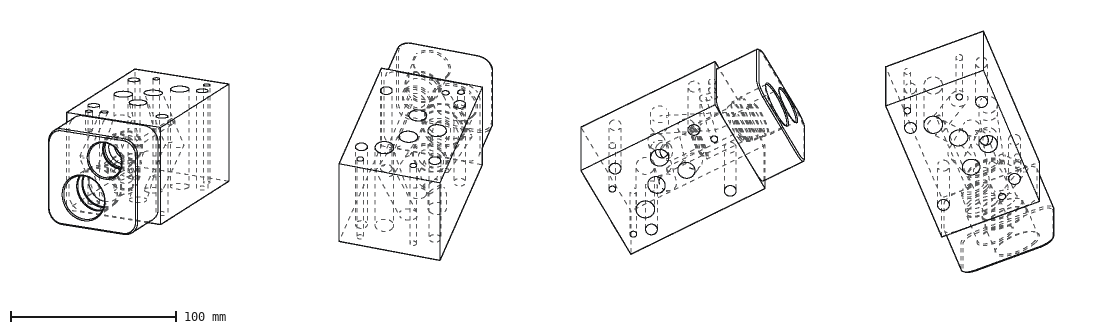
import cadquery as cq
import math

WIDTH = 63.5
HEIGHT = 61.9
LENGTH = 120.6
BLOCK_LENGTH = 92.0
NOSE_WIDTH = 60.2
NOSE_HEIGHT = 60.9
NOSE_CORNER_RADIUS = 9.4
NOSE_CHAMFER = 1.0
NOSE_LENGTH = LENGTH - BLOCK_LENGTH
TOP = HEIGHT / 2

BOLT_DIAMETER = 7.1
BOLT_SPACING_X = 46.1
BOLT_SPACING_Y = 54.0
BOLT_BACK_EDGE = 18.8
BOLT_MIDDLE_Y = LENGTH - BOLT_BACK_EDGE - BOLT_SPACING_Y / 2

PORT_COLUMN_X = -1.6
PORT_OFFSET_Y = 10.3
CROSS_PORT_DIAMETER = 10.3
BACK_PORT_LEAN = 25.0
FRONT_PORT_LEAN = 16.8
RETURN_PORT_DIAMETER = 11.2
RETURN_PORT_X = 9.5
RETURN_PORT_OFFSET_Y = 23.9
PRESSURE_PORT_RADIUS = 5.5
PRESSURE_PORT_X = -16.6
TOP_PRESSURE_END_Z = 16.4
BOTTOM_PRESSURE_END_Z = -19.3

SMALL_HOLE_DIAMETER = 4.0
SMALL_THROUGH_HOLES = [(-11.8, 109.8), (20.6, 112.9)]
PIN_HOLE_X = -20.6
PIN_HOLE_Y = 36.7
PIN_HOLE_DEPTH = 12.1
PILOT_X = -11.8
PILOT_Y = 39.8
PILOT_LEAN = -25.0

DRILL_POINT_HALF_ANGLE = 59.0
LARGE_X = -5.9
LARGE_Z = -11.0
LARGE_STATIONS = [
    (14.5, 0),
    (13.8, 0.7),
    (13.8, 18.1),
    (13.3, 18.6),
    (13.3, 24.1),
    (12.8, 24.6),
    (11.7, 27.7),
    (11.0, 29.0),
    (11.0, 53.1),
    (10.4, 53.7),
    (10.4, 54.3),
]
LARGE_POINT_RADIUS = 7.0
SMALL_X = 8.3
SMALL_Z = 15.0
SMALL_STATIONS = [
    (11.8, 0),
    (11.1, 0.7),
    (11.1, 19.3),
    (10.6, 19.8),
    (10.6, 21.7),
    (9.4, 24.1),
    (9.4, 31.4),
    (8.7, 32.1),
    (8.7, 33.8),
]
SMALL_POINT_RADIUS = 5.7

FEED_RADIUS = 5.5
FEED_END = (-9.3, 72.0, LARGE_Z)
FEED_LINK_RADIUS = 4.7
SIDE_LINK_RADIUS = 5.3
SIDE_LINK_END = (-7.8, 33.8, -4.0)
BLEED_RADIUS = 1.6
BLEED_OFFSET_X = 3.1
BLEED_END_Y = BOLT_MIDDLE_Y + PORT_OFFSET_Y


def cylinder(radius, length, start, direction):
    return cq.Workplane(cq.Solid.makeCylinder(radius, length, cq.Vector(*start), cq.Vector(*direction)))


def ball(radius, centre):
    return cq.Workplane("XY").sphere(radius).translate(centre)


def vertical_holes(diameter, centres):
    return (
        cq.Workplane("XY", origin=(0, 0, -TOP))
        .pushPoints(centres)
        .circle(diameter / 2)
        .extrude(HEIGHT)
    )


def body():
    block = cq.Workplane("XY").box(WIDTH, BLOCK_LENGTH, HEIGHT).translate((0, LENGTH - BLOCK_LENGTH / 2, 0))
    nose = (
        cq.Workplane("XY")
        .box(NOSE_WIDTH, NOSE_LENGTH, NOSE_HEIGHT)
        .translate((0, NOSE_LENGTH / 2, 0))
        .edges("|Y")
        .fillet(NOSE_CORNER_RADIUS)
        .faces("<Y")
        .chamfer(NOSE_CHAMFER)
    )
    return block.union(nose)


def bolt_holes():
    centres = [
        (side * BOLT_SPACING_X / 2, BOLT_MIDDLE_Y + end * BOLT_SPACING_Y / 2)
        for side in (-1, 1)
        for end in (-1, 1)
    ]
    return vertical_holes(BOLT_DIAMETER, centres)


def bent_hole(diameter, x, y, lean):
    """Holes at the same place on the top and bottom faces, leaning to meet at mid height."""
    slope = math.tan(math.radians(lean))
    overrun = diameter
    length = (TOP + 2 * overrun) / math.cos(math.radians(lean))
    half_block = cq.Workplane("XY").box(WIDTH, LENGTH, TOP).translate((0, LENGTH / 2, TOP / 2))
    start = (x - slope * overrun, y, TOP + overrun)
    upper_leg = cylinder(diameter / 2, length, start, (slope, 0, -1)).intersect(half_block)
    return upper_leg.union(upper_leg.mirror("XY"))


def rod_between(radius, start, end):
    direction = cq.Vector(*end) - cq.Vector(*start)
    return cylinder(radius, direction.Length, start, direction.toTuple())


def round_ended_hole(radius, mouth, end):
    return rod_between(radius, mouth, end).union(ball(radius, end))


def pressure_port(end_z, side):
    """Round-ended vertical hole from the top (side 1) or bottom (side -1) face."""
    mouth = (PRESSURE_PORT_X, BOLT_MIDDLE_Y, side * TOP)
    return round_ended_hole(PRESSURE_PORT_RADIUS, mouth, (PRESSURE_PORT_X, BOLT_MIDDLE_Y, end_z))


def pressure_passages():
    """Top port to the side wall of the large cavity, bottom port to the cavity floor."""
    top_end = (PRESSURE_PORT_X, BOLT_MIDDLE_Y, TOP_PRESSURE_END_Z)
    bottom_end = (PRESSURE_PORT_X, BOLT_MIDDLE_Y, BOTTOM_PRESSURE_END_Z)
    floor_depth = LARGE_STATIONS[-1][1]
    feed_mouth = (FEED_END[0], floor_depth, FEED_END[2])
    return (
        pressure_port(TOP_PRESSURE_END_Z, 1)
        .union(rod_between(SIDE_LINK_RADIUS, top_end, SIDE_LINK_END))
        .union(pressure_port(BOTTOM_PRESSURE_END_Z, -1))
        .union(rod_between(FEED_LINK_RADIUS, bottom_end, FEED_END))
        .union(round_ended_hole(FEED_RADIUS, feed_mouth, FEED_END))
    )


def cavity(stations, point_radius, x, z):
    """Stepped bore along +Y with a conical drill point in the middle of its floor."""
    floor_depth = stations[-1][1]
    tip_depth = floor_depth + point_radius / math.tan(math.radians(DRILL_POINT_HALF_ANGLE))
    wall = stations + [(point_radius, floor_depth)]
    outline = [(0, 0)] + [(depth, -radius) for radius, depth in wall] + [(tip_depth, 0)]
    return cq.Workplane("YZ").polyline(outline).close().revolve(360, (0, 0), (1, 0)).translate((x, 0, z))


def bleed_hole():
    start_y = SMALL_STATIONS[-1][1]
    x = SMALL_X + BLEED_OFFSET_X
    return rod_between(BLEED_RADIUS, (x, start_y, SMALL_Z), (x, BLEED_END_Y, SMALL_Z))


def pin_hole():
    radius = SMALL_HOLE_DIAMETER / 2
    point = radius / math.tan(math.radians(DRILL_POINT_HALF_ANGLE))
    outline = [(0, 0), (radius, 0), (radius, -PIN_HOLE_DEPTH), (0, -PIN_HOLE_DEPTH - point)]
    hole = cq.Workplane("XZ").polyline(outline).close().revolve(360, (0, 0), (0, 1))
    return hole.translate((PIN_HOLE_X, PIN_HOLE_Y, TOP))


result = (
    body()
    .cut(cavity(LARGE_STATIONS, LARGE_POINT_RADIUS, LARGE_X, LARGE_Z))
    .cut(cavity(SMALL_STATIONS, SMALL_POINT_RADIUS, SMALL_X, SMALL_Z))
    .cut(bolt_holes())
    .cut(vertical_holes(RETURN_PORT_DIAMETER, [(RETURN_PORT_X, BOLT_MIDDLE_Y + RETURN_PORT_OFFSET_Y)]))
    .cut(vertical_holes(SMALL_HOLE_DIAMETER, SMALL_THROUGH_HOLES))
    .cut(bent_hole(CROSS_PORT_DIAMETER, PORT_COLUMN_X, BOLT_MIDDLE_Y + PORT_OFFSET_Y, BACK_PORT_LEAN))
    .cut(bent_hole(CROSS_PORT_DIAMETER, PORT_COLUMN_X, BOLT_MIDDLE_Y - PORT_OFFSET_Y, FRONT_PORT_LEAN))
    .cut(pressure_passages())
    .cut(bleed_hole())
    .cut(pin_hole())
    .cut(bent_hole(SMALL_HOLE_DIAMETER, PILOT_X, PILOT_Y, PILOT_LEAN))
)